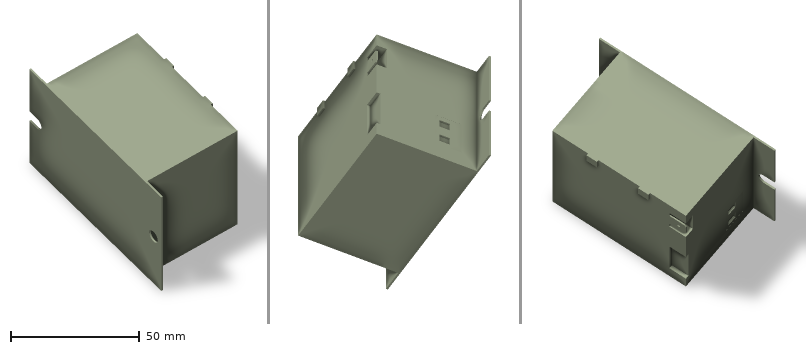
import cadquery as cq

plate_width = 85.0
height = 53.8
plate_thickness = 0.8

body_width = 64.7
body_back = 45.0
body_left = -body_width / 2

mount_diameter = 5.5
mount_inset = 5.0
mount_x = plate_width / 2 - mount_inset

tab_width = 5.0
tab_height = 4.2
tab_length = 1.0
tab_spacing = 25.0

recess_depth_x = 8.0
recess_depth_y = 4.6
recess_height = 10.3
recess_z = 42.75

blade_height = 6.2
blade_thickness = 0.6
blade_chamfer = 0.9
blade_hole_diameter = 1.4
blade_hole_inset = 3.6

notch_depth_x = recess_depth_x
notch_depth_y = 1.65
notch_height = 16.5
notch_bottom = 5.9

connector_setback = 0.05
connector_length = 11.4
connector_height = 15.1
connector_y = 13.25
connector_z = 14.55

pocket_length = 4.6
pocket_height = 3.5
pocket_depth = 1.0
pocket_y = 14.85
pocket_spacing = 7.75


def box(x_size, y_size, z_size, x_start, y_start, z_start):
    """Box placed by its lowest X, Y and Z corner."""
    return cq.Workplane("XY").box(x_size, y_size, z_size, centered=False).translate((x_start, y_start, z_start))


def drill_y(diameter, length, x, y, z):
    """Cylinder running along +Y from the given start centre."""
    return cq.Workplane("XZ", origin=(x, y, z)).circle(diameter / 2).extrude(-length)


def make_plate():
    middle_z = height / 2
    plate = box(plate_width, plate_thickness, height, -plate_width / 2, 0, 0)
    for x in (-mount_x, mount_x):
        plate = plate.cut(drill_y(mount_diameter, plate_thickness, x, 0, middle_z))
    slot_mouth = box(
        mount_inset, plate_thickness, mount_diameter,
        -plate_width / 2, 0, middle_z - mount_diameter / 2,
    )
    return plate.cut(slot_mouth)


def make_body():
    return box(body_width, body_back - plate_thickness, height, body_left, plate_thickness, 0)


def make_tabs():
    tabs = cq.Workplane("XY")
    for x in (-tab_spacing / 2, tab_spacing / 2):
        tabs = tabs.add(box(tab_width, tab_length, tab_height, x - tab_width / 2, body_back, height - tab_height))
    return tabs.combine()


def make_terminal_recess():
    return box(
        recess_depth_x, recess_depth_y, recess_height,
        body_left, body_back - recess_depth_y, recess_z - recess_height / 2,
    )


def make_blade():
    front_y = body_back - blade_thickness
    blade = box(recess_depth_x, blade_thickness, blade_height, body_left, front_y, recess_z - blade_height / 2)
    blade = blade.edges("|Y and <X").chamfer(blade_chamfer)
    return blade.cut(
        drill_y(blade_hole_diameter, blade_thickness, body_left + blade_hole_inset, front_y, recess_z)
    )


def make_notch():
    return box(
        notch_depth_x, notch_depth_y, notch_height,
        body_left, body_back - notch_depth_y, notch_bottom,
    )


def left_face_pocket(depth, length, z_size, y, z):
    """Rectangular pocket sunk into the left face, centred at the given Y and Z."""
    return box(depth, length, z_size, body_left, y - length / 2, z - z_size / 2)


def cut_connector(body):
    body = body.cut(
        left_face_pocket(connector_setback, connector_length, connector_height, connector_y, connector_z)
    )
    for z in (connector_z - pocket_spacing / 2, connector_z + pocket_spacing / 2):
        body = body.cut(left_face_pocket(pocket_depth, pocket_length, pocket_height, pocket_y, z))
    return body


housing = make_body().cut(make_terminal_recess()).cut(make_notch())
housing = cut_connector(housing)

result = make_plate().union(housing).union(make_blade()).union(make_tabs())